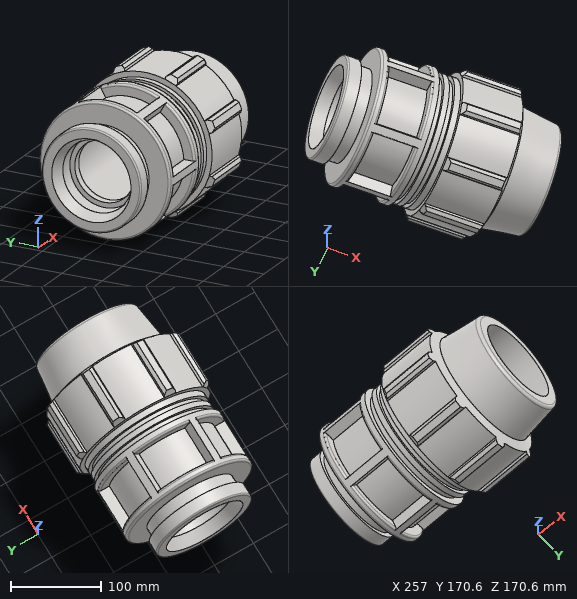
import cadquery as cq

LENGTH = 257.0

RIM_RADIUS = 123.0 / 2
RIM_END = 16.5
RIM_ROUND = 1.8
NECK_RADIUS = 110.8 / 2

COLLAR_RADIUS = 163.0 / 2
COLLAR_START = 31.9
COLLAR_END = 101.5
COLLAR_ROUND = 2.5
GROOVE_RADIUS = 67.8
GROOVE_START = 42.0
GROOVE_END = 92.5
RIB_COUNT = 6
RIB_WIDTH = 10.0

BARREL_RADIUS = 144.7 / 2
RING_RADIUS = 154.7 / 2
RING_START = 108.7
RING_END = 115.5
SECOND_RING_START = 121.5

NUT_RADIUS = 84.0
NUT_START = 129.0
SHOULDER_START = 201.2
SHOULDER_END = 205.9
NOSE_BASE_RADIUS = BARREL_RADIUS
NOSE_TIP_RADIUS = 65.3
NOSE_ROUND = 4.0

LUG_COUNT = 8
LUG_TOP = 90.5
LUG_TOP_WIDTH = 8.7
LUG_BASE_WIDTH = 15.5
LUG_KNEE = 86.5
LUG_TOP_START = 134.0
LUG_ROOT = 77.0

THROAT_RADIUS = 73.8 / 2
COUNTERBORE_RADIUS = 86.0 / 2
MOUTH_RADIUS = 98.5 / 2
MOUTH_DEPTH = 15.0
COUNTERBORE_DEPTH = 31.9
SOCKET_RADIUS = 100.0 / 2
SOCKET_START = 41.5


def revolve_about_x(profile):
    """Revolve a closed (x, radius) profile around the X axis."""
    return profile.close().revolve(360, (0, 0, 0), (1, 0, 0))


def cylinder(start, end, radius):
    return cq.Workplane("YZ").workplane(offset=start).circle(radius).extrude(end - start)


def spigot():
    rim = cylinder(0, RIM_END, RIM_RADIUS).faces("<X").edges().fillet(RIM_ROUND)
    return rim.union(cylinder(0, COLLAR_START, NECK_RADIUS))


def groove_ring():
    """Ring of material missing between the flanges, flared outward by the rounded flange edges."""
    return revolve_about_x(
        cq.Workplane("XY")
        .moveTo(GROOVE_START, GROOVE_RADIUS)
        .lineTo(GROOVE_START, COLLAR_RADIUS - COLLAR_ROUND)
        .radiusArc((GROOVE_START - COLLAR_ROUND, COLLAR_RADIUS), -COLLAR_ROUND)
        .lineTo(GROOVE_END + COLLAR_ROUND, COLLAR_RADIUS)
        .radiusArc((GROOVE_END, COLLAR_RADIUS - COLLAR_ROUND), -COLLAR_ROUND)
        .lineTo(GROOVE_END, GROOVE_RADIUS)
    )


def collar():
    """Collar hollowed by the groove, except where radial ribs bridge it."""
    pockets = groove_ring()
    rib = cq.Workplane("XY").box(COLLAR_END, 2 * COLLAR_RADIUS, RIB_WIDTH, centered=(False, False, True))
    for index in range(RIB_COUNT):
        pockets = pockets.cut(rib.rotate((0, 0, 0), (1, 0, 0), index * 360 / RIB_COUNT))
    body = cylinder(COLLAR_START, COLLAR_END, COLLAR_RADIUS).faces("<X").edges().fillet(COLLAR_ROUND)
    return body.cut(pockets)


def barrel():
    body = cylinder(COLLAR_END, NUT_START, BARREL_RADIUS)
    body = body.union(cylinder(RING_START, RING_END, RING_RADIUS))
    return body.union(cylinder(SECOND_RING_START, NUT_START, RING_RADIUS))


def nose():
    taper = revolve_about_x(
        cq.Workplane("XY")
        .moveTo(SHOULDER_END, 0)
        .lineTo(SHOULDER_END, NOSE_BASE_RADIUS)
        .lineTo(LENGTH, NOSE_TIP_RADIUS)
        .lineTo(LENGTH, 0)
    )
    return taper.faces(">X").edges().fillet(NOSE_ROUND)


def lug_section():
    """Lug cross-section along X, pointing along +Y: parallel sides below the knee, tapered above it."""
    return (
        cq.Workplane("YZ")
        .workplane(offset=NUT_START)
        .moveTo(LUG_ROOT, -LUG_BASE_WIDTH / 2)
        .lineTo(LUG_KNEE, -LUG_BASE_WIDTH / 2)
        .lineTo(LUG_TOP, -LUG_TOP_WIDTH / 2)
        .lineTo(LUG_TOP, LUG_TOP_WIDTH / 2)
        .lineTo(LUG_KNEE, LUG_BASE_WIDTH / 2)
        .lineTo(LUG_ROOT, LUG_BASE_WIDTH / 2)
        .close()
        .extrude(SHOULDER_END - NUT_START)
    )


def lug_front_slope():
    """Prism that leaves the front of a lug sloping up from the nut to the lug top."""
    return (
        cq.Workplane("XY")
        .moveTo(NUT_START, LUG_ROOT)
        .lineTo(NUT_START, NUT_RADIUS)
        .lineTo(LUG_TOP_START, LUG_TOP)
        .lineTo(SHOULDER_END, LUG_TOP)
        .lineTo(SHOULDER_END, LUG_ROOT)
        .close()
        .extrude(LUG_BASE_WIDTH, both=True)
    )


def shoulder_cone():
    """The nut's shoulder cone, carried outward past the lug tops."""
    steepness = (NUT_RADIUS - NOSE_BASE_RADIUS) / (SHOULDER_END - SHOULDER_START)
    return revolve_about_x(
        cq.Workplane("XY")
        .moveTo(NUT_START, 0)
        .lineTo(NUT_START, NOSE_BASE_RADIUS + steepness * (SHOULDER_END - NUT_START))
        .lineTo(SHOULDER_END, NOSE_BASE_RADIUS)
        .lineTo(SHOULDER_END, 0)
    )


def nut():
    """Cylinder and lugs, both trimmed at the rear by the same shoulder cone."""
    body = cylinder(NUT_START, SHOULDER_END, NUT_RADIUS)
    lug = lug_section().intersect(lug_front_slope())
    pitch = 360 / LUG_COUNT
    for index in range(LUG_COUNT):
        body = body.union(lug.rotate((0, 0, 0), (1, 0, 0), (index + 0.5) * pitch))
    return body.intersect(shoulder_cone())


def bore():
    return revolve_about_x(
        cq.Workplane("XY")
        .lineTo(0, MOUTH_RADIUS)
        .lineTo(MOUTH_DEPTH, COUNTERBORE_RADIUS)
        .lineTo(COUNTERBORE_DEPTH, COUNTERBORE_RADIUS)
        .lineTo(COUNTERBORE_DEPTH, THROAT_RADIUS)
        .lineTo(SOCKET_START, THROAT_RADIUS)
        .lineTo(SOCKET_START, SOCKET_RADIUS)
        .lineTo(LENGTH, SOCKET_RADIUS)
        .lineTo(LENGTH, 0)
    )


result = spigot().union(collar()).union(barrel()).union(nut()).union(nose()).cut(bore())